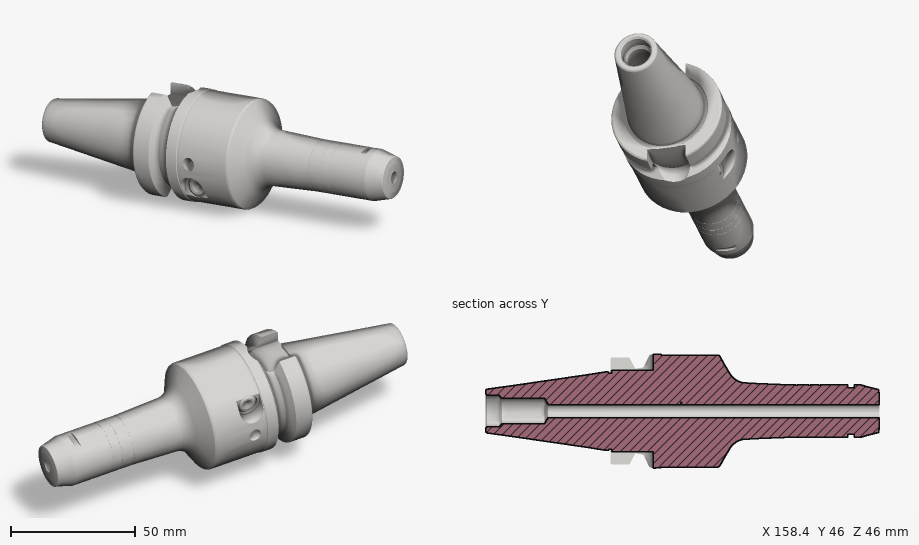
import cadquery as cq
import math

total_length = 158.4

taper_ratio = 7 / 24
gauge_x = 48.3
gauge_radius = 15.8
shank_end_radius = gauge_radius - gauge_x * taper_ratio / 2
shank_end_fillet = 1.0

flange_x = 50.2
flange_radius = 23.0
flange_fillet = 1.0
groove_start_x = 57.8
groove_radius = 18.8
groove_floor_length = 3.3
groove_flank = (flange_radius - groove_radius) * math.tan(math.radians(30))
groove_floor_start_x = groove_start_x + groove_flank
groove_floor_end_x = groove_floor_start_x + groove_floor_length
groove_end_x = groove_floor_end_x + groove_flank
flange_end_x = 70.5

relief_start_x = 49.5
relief_bottom_x = 50.7
relief_radius = 15.4
relief_outer_radius = 17.3
relief_chamfer = 0.3

slot_width = 16.0
slot_floor = 16.5
slot_end_x = 67.3

body_radius = 22.7
body_step_length = 0.3
body_end_x = 93.3
shoulder_x = 94.1
shoulder_radius = 22.3
blend_end_x = 104.7
blend_radius = 7.5
blend_angle = math.radians(60)

neck_radius = 11.4
nose_radius = 10.6
nose_start_x = 124.2
ring_groove_centers = (125.0, 130.2, 134.2)
ring_groove_width = 0.8
ring_groove_diameter = 21.0
nose_taper_x = 150.8
nose_rim_x = 158.0
nose_rim_radius = 8.7
nose_rim_chamfer = 0.2
nose_face_radius = 5.9

outlet_x = 146.8
outlet_length = 2.5
outlet_width = 9.0
outlet_floor = 9.5

mouth_diameter = 14.0
pilot_diameter = 12.5
pilot_depth = 5.7
thread_mouth_diameter = 12.0
thread_diameter = 10.0
thread_depth = 23.8
through_diameter = 5.0
drill_half_angle = math.radians(59)

side_feature_x = 76.2
pocket_z = -12.2
pocket_diameter = 10.5
pocket_floor = 15.8
screw_diameter = 9.0
screw_chamfer = 1.3
socket_diameter = 4.6
socket_depth = 1.6
bleed_z = -1.0
bleed_tilt = 20
bleed_lead_in = 1.6
bleed_steps = ((5.0, 6.0), (4.0, 6.7), (2.4, 7.9))


def revolve_profile(outline):
    """Close an outline down to the X axis and revolve it about that axis."""
    return outline.close().revolve(360, (0, 0, 0), (1, 0, 0))


def outer_body():
    blend_start_x = blend_end_x - blend_radius * math.sin(blend_angle)
    blend_start_radius = neck_radius + blend_radius * (1 - math.cos(blend_angle))
    blend_mid_x = blend_end_x - blend_radius * math.sin(blend_angle / 2)
    blend_mid_radius = neck_radius + blend_radius * (1 - math.cos(blend_angle / 2))
    corner = 1 - math.sqrt(0.5)

    outline = (
        cq.Workplane("XY")
        .lineTo(0, shank_end_radius - shank_end_fillet)
        .threePointArc(
            (shank_end_fillet * corner, shank_end_radius - shank_end_fillet * corner),
            (shank_end_fillet, shank_end_radius + shank_end_fillet * taper_ratio / 2),
        )
        .lineTo(gauge_x, gauge_radius)
        .lineTo(relief_start_x, gauge_radius)
        .lineTo(relief_start_x + relief_chamfer, relief_radius)
        .lineTo(relief_bottom_x, relief_radius)
        .lineTo(relief_bottom_x, relief_outer_radius - relief_chamfer)
        .lineTo(flange_x, relief_outer_radius)
        .lineTo(flange_x, flange_radius - flange_fillet)
        .threePointArc(
            (flange_x + flange_fillet * corner, flange_radius - flange_fillet * corner),
            (flange_x + flange_fillet, flange_radius),
        )
        .lineTo(groove_start_x, flange_radius)
        .lineTo(groove_floor_start_x, groove_radius)
        .lineTo(groove_floor_end_x, groove_radius)
        .lineTo(groove_end_x, flange_radius)
        .lineTo(flange_end_x, flange_radius)
        .lineTo(flange_end_x + body_step_length, body_radius)
        .lineTo(body_end_x, body_radius)
        .lineTo(shoulder_x, shoulder_radius)
        .lineTo(blend_start_x, blend_start_radius)
        .threePointArc((blend_mid_x, blend_mid_radius), (blend_end_x, neck_radius))
        .lineTo(nose_start_x, nose_radius)
        .lineTo(nose_taper_x, nose_radius)
        .lineTo(nose_rim_x, nose_rim_radius)
        .lineTo(nose_rim_x + nose_rim_chamfer, nose_rim_radius - nose_rim_chamfer)
        .lineTo(total_length, nose_face_radius)
        .lineTo(total_length, 0)
    )
    return revolve_profile(outline)


def axial_bore():
    mouth_radius = mouth_diameter / 2
    pilot_radius = pilot_diameter / 2
    thread_mouth_radius = thread_mouth_diameter / 2
    thread_radius = thread_diameter / 2
    through_radius = through_diameter / 2
    cone_length = (thread_radius - through_radius) / math.tan(drill_half_angle)
    outline = (
        cq.Workplane("XY")
        .lineTo(0, mouth_radius)
        .lineTo(mouth_radius - pilot_radius, pilot_radius)
        .lineTo(pilot_depth, pilot_radius)
        .lineTo(pilot_depth, thread_mouth_radius)
        .lineTo(pilot_depth + thread_mouth_radius - thread_radius, thread_radius)
        .lineTo(thread_depth, thread_radius)
        .lineTo(thread_depth + cone_length, through_radius)
        .lineTo(total_length, through_radius)
        .lineTo(total_length, 0)
    )
    return revolve_profile(outline)


def ring_groove(center_x):
    return (
        cq.Workplane("YZ", origin=(center_x - ring_groove_width / 2, 0, 0))
        .circle(flange_radius)
        .circle(ring_groove_diameter / 2)
        .extrude(ring_groove_width)
    )


def drive_slot():
    """Round-ended slot on the +Z side, open toward the shank."""
    end_radius = slot_width / 2
    return (
        cq.Workplane("XY", origin=(0, 0, slot_floor))
        .moveTo(gauge_x, -end_radius)
        .lineTo(slot_end_x - end_radius, -end_radius)
        .threePointArc((slot_end_x, 0), (slot_end_x - end_radius, end_radius))
        .lineTo(gauge_x, end_radius)
        .close()
        .extrude(flange_radius)
    )


def outlet_slot():
    return (
        cq.Workplane("XY", origin=(outlet_x, 0, outlet_floor))
        .rect(outlet_length, outlet_width)
        .extrude(nose_radius)
    )


def screw_pocket():
    """Pocket on the -Y side, open toward -Z, with a chamfered screw in its floor."""
    pocket_radius = pocket_diameter / 2
    floor_center = cq.Vector(side_feature_x, -pocket_floor, pocket_z)
    inward = cq.Vector(0, 1, 0)
    floor = cq.Workplane("XZ", origin=floor_center)
    pocket = (
        floor.moveTo(-pocket_radius, 0)
        .threePointArc((0, pocket_radius), (pocket_radius, 0))
        .lineTo(pocket_radius, -flange_radius)
        .lineTo(-pocket_radius, -flange_radius)
        .close()
        .extrude(flange_radius)
    )
    clearance = floor.circle(screw_diameter / 2).extrude(-screw_chamfer)
    screw_head = cq.Workplane(
        cq.Solid.makeCone(
            screw_diameter / 2 - screw_chamfer,
            screw_diameter / 2,
            screw_chamfer,
            floor_center,
            inward,
        )
    )
    socket = cq.Workplane(
        cq.Solid.makeCone(socket_diameter / 2, 0, socket_depth, floor_center, inward)
    )
    return pocket.union(clearance.cut(screw_head)).union(socket)


def bleed_hole():
    """Stepped blind hole entering on the -Y side and sloping toward -Z."""
    tilt = math.radians(bleed_tilt)
    axis = cq.Vector(0, math.cos(tilt), -math.sin(tilt))
    start = cq.Vector(side_feature_x, -body_radius, bleed_z) - axis * bleed_lead_in
    hole = cq.Workplane()
    for diameter, depth in bleed_steps:
        step = cq.Solid.makeCylinder(diameter / 2, bleed_lead_in + depth, start, axis)
        hole = hole.add(step)
    return hole.combine()


result = outer_body().cut(axial_bore())
for groove_x in ring_groove_centers:
    result = result.cut(ring_groove(groove_x))
for cutter in (drive_slot(), outlet_slot(), screw_pocket(), bleed_hole()):
    opposite = cutter.rotate((0, 0, 0), (1, 0, 0), 180)
    result = result.cut(cutter).cut(opposite)